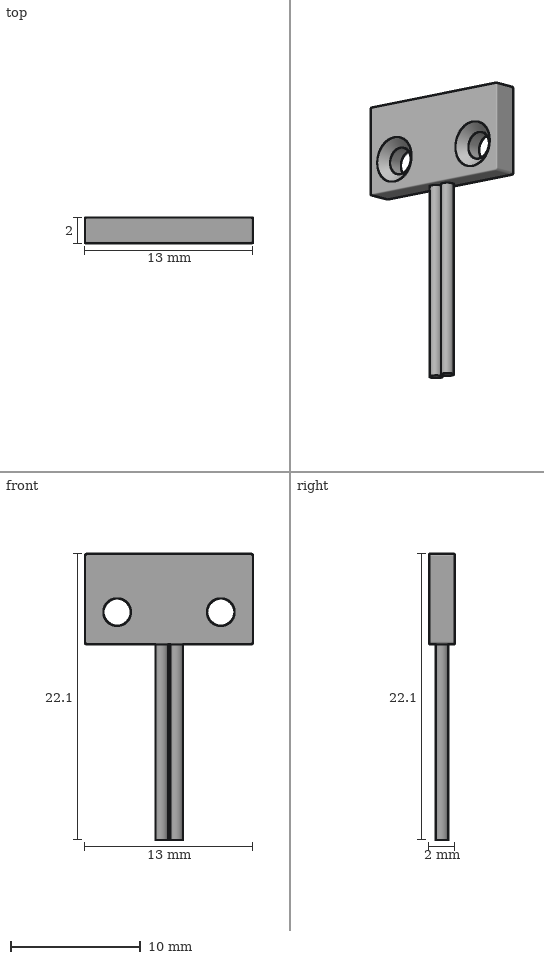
import cadquery as cq

total_height = 22.1
body_width = 13.0
body_depth = 2.0
body_height = 7.0
corner_radius = 0.2
face_edge_radius = 0.1

hole_diameter = 2.1
hole_spacing = 8.0
hole_height = 2.5
countersink_depth = 0.7

lead_diameter = 1.0
lead_spacing = 1.15
lead_offset = 0.02

body_bottom = total_height - body_height


def make_body():
    """Block with rounded corners and finer rounding around its front and back faces."""
    block = cq.Workplane("XY").box(body_width, body_depth, body_height, centered=(True, True, False))
    rounded = block.edges("|Y").fillet(corner_radius).faces("<Y or >Y").edges().fillet(face_edge_radius)
    return rounded.translate((0, 0, body_bottom))


def make_holes():
    """Through holes with 90 degree countersinks in the back (+Y) face."""
    hole_radius = hole_diameter / 2
    sink_radius = hole_radius + countersink_depth
    front = -body_depth / 2
    back = body_depth / 2
    profile = (
        cq.Workplane("XY")
        .moveTo(0, front)
        .lineTo(hole_radius, front)
        .lineTo(hole_radius, back - countersink_depth)
        .lineTo(sink_radius, back)
        .lineTo(0, back)
        .close()
    )
    cutter = profile.revolve(360, (0, 0, 0), (0, 1, 0)).translate((0, 0, body_bottom + hole_height))
    left = cutter.translate((-hole_spacing / 2, 0, 0))
    right = cutter.translate((hole_spacing / 2, 0, 0))
    return left.union(right)


def make_leads():
    """Two parallel leads reaching up to the bottom face of the body."""
    return (
        cq.Workplane("XY")
        .center(lead_offset, 0)
        .rarray(lead_spacing, 0.22, 2, 1)
        .circle(lead_diameter / 2)
        .extrude(body_bottom)
    )


result = make_body().cut(make_holes()).union(make_leads())